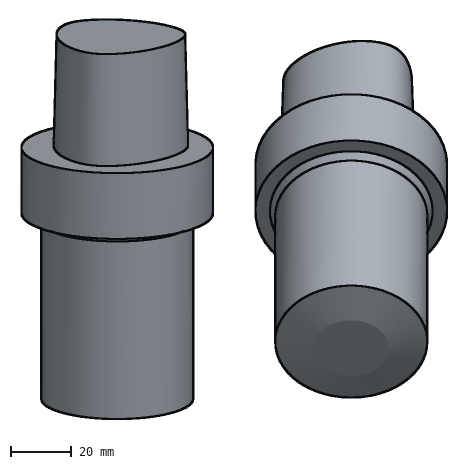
import cadquery as cq
import math

overall_length = 126.9
taper_length = 37.9
flange_height = 22.4
relief_height = 2.7
shank_bottom_z = taper_length - overall_length

flange_diameter = 63.0
shank_diameter = 50.0
relief_diameter = 53.4
tip_angle = 15.0
tip_diameter = 25.0

lobe_base_width = 44.2
taper_ratio = 1.0 / 20.0
lobe_top_width = lobe_base_width - taper_ratio * taper_length
lobe_eccentricity = 1.4
lobe_direction = -math.pi / 2
lobe_points = 48


def lobed_wire(width, height):
    """Closed constant-width outline with three rounded lobes, one pointing to -Y."""

    def point(index):
        angle = 2 * math.pi * index / lobe_points
        along = (
            width / 2 * math.cos(angle)
            + lobe_eccentricity * (2 * math.cos(2 * angle) - math.cos(4 * angle))
        )
        across = (
            width / 2 * math.sin(angle)
            - lobe_eccentricity * (2 * math.sin(2 * angle) + math.sin(4 * angle))
        )
        return cq.Vector(
            along * math.cos(lobe_direction) - across * math.sin(lobe_direction),
            along * math.sin(lobe_direction) + across * math.cos(lobe_direction),
            height,
        )

    points = [point(index) for index in range(lobe_points)]
    return cq.Wire.assembleEdges([cq.Edge.makeSpline(points, periodic=True)])


def make_taper():
    """Tapered three-lobed coupling standing on the flange."""
    base = lobed_wire(lobe_base_width, 0)
    top = lobed_wire(lobe_top_width, taper_length)
    return cq.Workplane(obj=cq.Solid.makeLoft([base, top], True))


def make_body():
    """Revolved flange, conical relief, round shank and conical tip."""
    flange_radius = flange_diameter / 2
    relief_radius = relief_diameter / 2
    shank_radius = shank_diameter / 2
    tip_radius = tip_diameter / 2
    tip_height = (shank_radius - tip_radius) * math.tan(math.radians(tip_angle))
    flange_bottom_z = -flange_height
    return (
        cq.Workplane("XZ")
        .moveTo(0, 0)
        .lineTo(flange_radius, 0)
        .lineTo(flange_radius, flange_bottom_z)
        .lineTo(relief_radius, flange_bottom_z)
        .lineTo(shank_radius, flange_bottom_z - relief_height)
        .lineTo(shank_radius, shank_bottom_z + tip_height)
        .lineTo(tip_radius, shank_bottom_z)
        .lineTo(0, shank_bottom_z)
        .close()
        .revolve(360, (0, 0, 0), (0, 1, 0))
    )


result = make_body().union(make_taper())